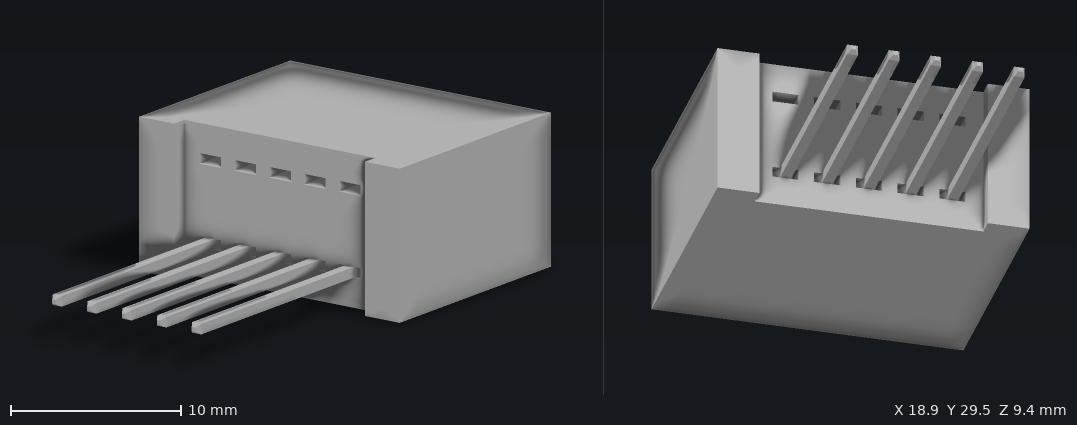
import cadquery as cq


OVERALL_LENGTH = 29.47
HOUSING_WIDTH = 18.95
HOUSING_LENGTH = 15.0
HOUSING_HEIGHT = 9.4
WING_WIDTH = 2.53
RECESS_DEPTH = 1.03
RECESS_WIDTH = HOUSING_WIDTH - 2 * WING_WIDTH

CONTACT_COUNT = 5
PITCH = 2.53
ROW_SPACING = 2 * PITCH
LOWER_ROW_Z = -ROW_SPACING / 2
UPPER_ROW_Z = ROW_SPACING / 2
COLUMN_X = [(i - (CONTACT_COUNT - 1) / 2) * PITCH for i in range(CONTACT_COUNT)]

SLOT_WIDTH = 1.6
SLOT_HEIGHT = 0.65

BLADE_WIDTH = 1.2
PIN_SIZE = SLOT_HEIGHT
SHOULDER_LENGTH = 0.7
TIP_SIZE = 0.27
TIP_LENGTH = 0.32
PIN_END_Y = HOUSING_LENGTH - OVERALL_LENGTH


def box_from(x_size, y_start, y_end, z_size):
    """Box centred on X and Z, running from y_start to y_end."""
    length = y_end - y_start
    return cq.Workplane("XY").box(x_size, length, z_size).translate((0, y_start + length / 2, 0))


def make_housing():
    """Block with a full-height front recess between two wings, and two rows of through slots."""
    body = box_from(HOUSING_WIDTH, 0, HOUSING_LENGTH, HOUSING_HEIGHT)
    body = body.cut(box_from(RECESS_WIDTH, 0, RECESS_DEPTH, HOUSING_HEIGHT))
    slot = box_from(SLOT_WIDTH, RECESS_DEPTH, HOUSING_LENGTH, SLOT_HEIGHT)
    for z in (LOWER_ROW_Z, UPPER_ROW_Z):
        for x in COLUMN_X:
            body = body.cut(slot.translate((x, 0, z)))
    return body


def make_contact(x):
    """Contact whose blade fills the slot's height and ends flush with the rear of the housing."""
    shoulder_back = RECESS_DEPTH + SHOULDER_LENGTH
    tip_start = PIN_END_Y + TIP_LENGTH
    right_side = [
        (PIN_SIZE / 2, tip_start),
        (PIN_SIZE / 2, RECESS_DEPTH),
        (BLADE_WIDTH / 2, shoulder_back),
        (BLADE_WIDTH / 2, HOUSING_LENGTH),
    ]
    left_side = [(-px, py) for px, py in reversed(right_side)]
    shank = (
        cq.Workplane("XY", origin=(0, 0, -PIN_SIZE / 2))
        .polyline(right_side + left_side)
        .close()
        .extrude(PIN_SIZE)
    )
    tip = (
        cq.Workplane("XZ", origin=(0, tip_start, 0))
        .rect(PIN_SIZE, PIN_SIZE)
        .workplane(offset=TIP_LENGTH)
        .rect(TIP_SIZE, TIP_SIZE)
        .loft(ruled=True)
    )
    return shank.union(tip).translate((x, 0, LOWER_ROW_Z))


housing = make_housing()
contacts = [make_contact(x) for x in COLUMN_X]

result = cq.Compound.makeCompound([housing.val(), *[contact.val() for contact in contacts]])